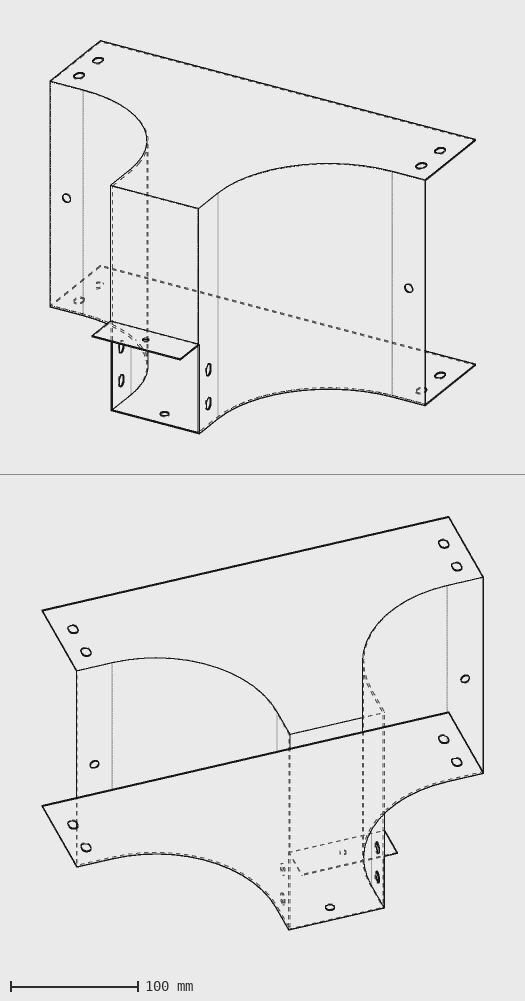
import cadquery as cq

length = 340.0
depth = 240.0
height = 200.0
sheet = 1.0

duct_width = 80.0
straight_end = 30.0
bend_radius = (length - duct_width) / 2 - straight_end
branch_end = -(duct_width + bend_radius + straight_end)
half_length = length / 2
half_branch = duct_width / 2

panel_bottom = 79.0
lip_front = -depth

end_inset = straight_end / 2
round_hole = 7.0
lip_hole = 5.0
slot_length = 10.2
slot_width = 7.0
slot_pitch = 30.0
run_slot_start = 30.0
branch_slot_start = 20.0


def tee_prism(inset, z_bottom, z_top):
    """Tee-shaped block with its side edges moved inward by inset."""
    side = -duct_width + inset
    branch = half_branch - inset
    radius = bend_radius + inset
    bend_x = half_branch + bend_radius
    bend_y = -duct_width - bend_radius
    diagonal = radius / 2 ** 0.5
    return (
        cq.Workplane("XY")
        .workplane(offset=z_bottom)
        .moveTo(-half_length, 0)
        .lineTo(half_length, 0)
        .lineTo(half_length, side)
        .lineTo(bend_x, side)
        .threePointArc((bend_x - diagonal, bend_y + diagonal), (branch, bend_y))
        .lineTo(branch, branch_end)
        .lineTo(-branch, branch_end)
        .lineTo(-branch, bend_y)
        .threePointArc((-bend_x + diagonal, bend_y + diagonal), (-bend_x, side))
        .lineTo(-half_length, side)
        .close()
        .extrude(z_top - z_bottom)
    )


def box(x_size, y_start, y_end, z_start, z_end):
    """Block centred on X and spanning the given Y and Z ranges."""
    return cq.Workplane("XY").box(
        x_size, y_end - y_start, z_end - z_start, centered=(True, False, False)
    ).translate((0, y_start, z_start))


def sheet_shell():
    """Top and bottom tee plates joined by the two curved side walls."""
    outside = tee_prism(0, 0, height)
    inside = tee_prism(sheet, sheet, height - sheet)
    return outside.cut(inside)


def end_panel():
    """Panel closing the upper branch mouth, with a lip folded outward."""
    panel = box(duct_width, branch_end - sheet, branch_end, panel_bottom, height)
    lip = box(duct_width, lip_front, branch_end, panel_bottom, panel_bottom + sheet)
    return panel.union(lip)


def run_slots():
    """Slot pairs through both tee plates at each end of the run."""
    slot_x = half_length - end_inset
    centres = [
        (x, -run_slot_start - i * slot_pitch)
        for x in (-slot_x, slot_x)
        for i in range(2)
    ]
    return cq.Workplane("XY").pushPoints(centres).slot2D(slot_length, slot_width, 90).extrude(height)


def branch_slots():
    """Slot pair through both side walls at the branch mouth."""
    centres = [(branch_end + end_inset, branch_slot_start + i * slot_pitch) for i in range(2)]
    return (
        cq.Workplane("YZ")
        .pushPoints(centres)
        .slot2D(slot_length, slot_width, 90)
        .extrude(half_branch, both=True)
    )


def wall_holes():
    """Round hole at mid height in the straight wall at each end of the run."""
    hole_x = half_length - end_inset
    return (
        cq.Workplane("XZ")
        .pushPoints([(-hole_x, height / 2), (hole_x, height / 2)])
        .circle(round_hole / 2)
        .extrude(duct_width)
    )


def bottom_hole():
    """Round hole in the bottom plate at the branch mouth."""
    return (
        cq.Workplane("XY")
        .center(0, branch_end + end_inset)
        .circle(round_hole / 2)
        .extrude(sheet)
    )


def lip_hole_cutter():
    """Round hole in the middle of the lip."""
    return (
        cq.Workplane("XY")
        .workplane(offset=panel_bottom)
        .center(0, branch_end - end_inset)
        .circle(lip_hole / 2)
        .extrude(sheet)
    )


result = sheet_shell().union(end_panel())
for cutter in (run_slots(), branch_slots(), wall_holes(), bottom_hole(), lip_hole_cutter()):
    result = result.cut(cutter)

result = result.clean().translate((0, depth / 2, -height / 2))